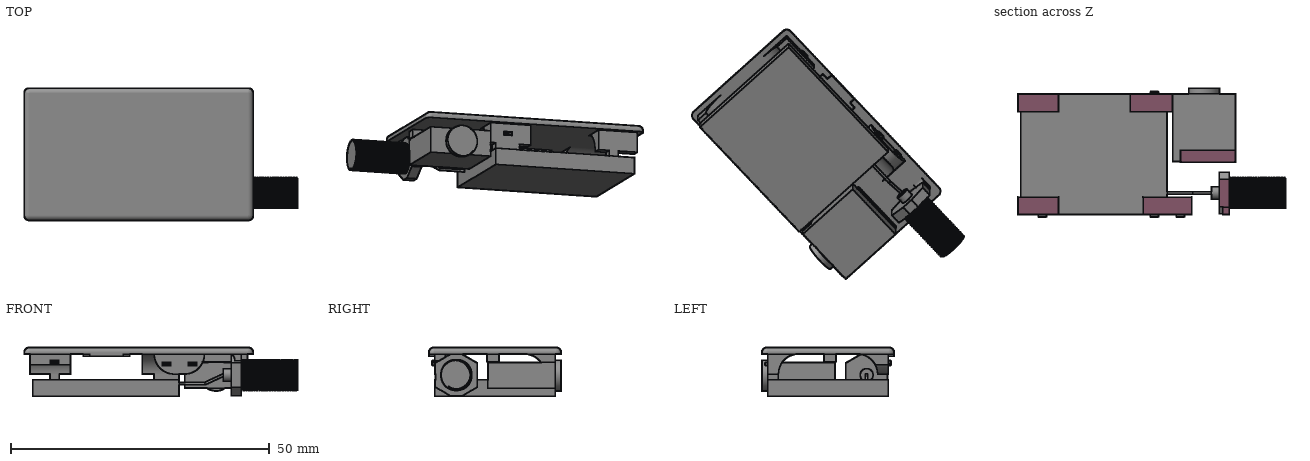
import cadquery as cq
import math


near_full = 0.999

plate_length = 44.3
plate_width = 25.6
plate_thickness = 1.3
plate_round = 1.0
overall_height = 9.45
plate_underside = overall_height - plate_thickness

base_length = 28.3
base_width = 23.35
base_height = 3.2
base_left = 1.65
base_right = base_left + base_length

wall_outer = base_width / 2
wall_thickness = 2.1
wall_inner = wall_outer - wall_thickness
cove_radius = 3.87
cove_y = wall_inner - cove_radius
cove_z = plate_underside - cove_radius
wall_bottom = cove_z
wall_inset = 1.1

leg_length = 7.9
front_leg_bottom = 6.05

tab_left = 25.15
tab_length = 9.7
rear_wall_left = 22.8

left_post_left = 5.0
left_post_length = 1.8
right_post_length = 4.85

nub_length = 1.65
nub_height = 0.65
nub_reach = 0.5
nub_bevel = 0.15
leg_nub_x = 5.85
leg_nub_z = 6.62
tab_nub_spacing = 5.0
tab_nub_z = 6.22
tab_nub_centre = tab_left + tab_length / 2

lip_left = 11.4
lip_length = 9.05
lip_height = 0.45
lip_end = 1.3

stub_left = 40.7
stub_bottom = 6.85
stub_cove = 1.1

rib_left = 32.5
rib_back = 0.8
rib_width = 2.35
rib_height = 1.5

jack_left = 31.0
jack_front = -1.4
jack_bottom = 1.55
jack_top = 6.55
jack_right = plate_length - wall_inset
sleeve_diameter = 6.0
sleeve_x = (jack_left + jack_right) / 2
sleeve_z = 4.0

axis_y = -7.47
axis_z = 4.1
nut_left = 40.0
nut_thickness = 2.0
nut_right = nut_left + nut_thickness
nut_across_flats = 8.1
thread_diameter = 6.0
thread_pitch = 0.5
thread_end = 52.91
thread_depth = 0.325
crest_half_width = thread_pitch / 8
ridge_base_half_width = 0.245
ridge_overlap = 0.02

insulator_diameter = 2.49
insulator_left = 38.5
wire_diameter = 0.5
wire_bend_x = 34.95
wire_z = 2.45


def block(x0, x1, y0, y1, z0, z1):
    """Box between two opposite corners."""
    return cq.Workplane("XY").box(x1 - x0, y1 - y0, z1 - z0, centered=False).translate((x0, y0, z0))


def coved_wall(x0, x1, side, bottom):
    """Wall at the rear (side = 1) or front (side = -1), hanging from the plate down to a given height."""
    arc_end = math.asin((bottom - cove_z) / cove_radius)
    arc_middle = (arc_end + math.pi / 2) / 2

    def on_cove(angle):
        return side * (cove_y + cove_radius * math.cos(angle)), cove_z + cove_radius * math.sin(angle)

    profile = cq.Workplane("YZ", origin=(x0, 0, 0)).moveTo(side * wall_outer, plate_underside)
    profile = profile.lineTo(side * cove_y, plate_underside)
    profile = profile.threePointArc(on_cove(arc_middle), on_cove(arc_end))
    return profile.lineTo(side * wall_outer, bottom).close().extrude(x1 - x0)


def nub(x_centre, z_centre, side):
    """Small bevelled bump on the outside of a wall."""
    bump = cq.Workplane("XY").box(nub_length, nub_reach, nub_height)
    bump = bump.faces(">Y" if side > 0 else "<Y").chamfer(nub_bevel)
    return bump.translate((x_centre, side * (wall_outer + nub_reach / 2), z_centre))


def make_plate():
    plate = block(0, plate_length, -plate_width / 2, plate_width / 2, plate_underside, overall_height)
    return plate.edges("|Z").fillet(plate_round).faces(">Z").edges().fillet(plate_round * near_full)


def front_tab():
    wall = coved_wall(tab_left, tab_left + tab_length, -1, wall_bottom)
    outline = block(tab_left, tab_left + tab_length, -plate_width, 0, wall_bottom, plate_underside)
    return wall.intersect(outline.edges("|Y and <Z").fillet(cove_radius * near_full))


def rear_post(x0, length):
    return block(x0, x0 + length, wall_inner, wall_outer, base_height, wall_bottom)


def finger_lip():
    lip_right = lip_left + lip_length
    lip_bottom = plate_underside - lip_height
    strip = block(lip_left, lip_right, -wall_outer, -wall_inner, lip_bottom, plate_underside)
    tongue = block(lip_left + lip_end, lip_right - lip_end, -plate_width / 2, -wall_inner,
                   lip_bottom, plate_underside)
    return strip.union(tongue)


def corner_stub():
    """Short front wall whose left side sweeps out into the plate."""
    sweep_left = stub_left - stub_cove
    sweep_bottom = plate_underside - stub_cove
    half = stub_cove * math.sqrt(0.5)
    profile = (
        cq.Workplane("XZ", origin=(0, -wall_inner, 0))
        .moveTo(sweep_left, plate_underside)
        .threePointArc((sweep_left + half, sweep_bottom + half), (stub_left, sweep_bottom))
        .lineTo(stub_left, stub_bottom)
        .lineTo(nut_right, stub_bottom)
        .lineTo(nut_right, plate_underside)
        .close()
    )
    return profile.extrude(wall_thickness)


def make_nut():
    """Hexagon with upright side flats and its top and bottom corners cut off level."""
    corner_diameter = nut_across_flats / math.cos(math.radians(30))
    plane = cq.Workplane("YZ", origin=(nut_left, axis_y, axis_z))
    hexagon = plane.transformed(rotate=(0, 0, 90)).polygon(6, corner_diameter).extrude(nut_thickness)
    return hexagon.intersect(plane.rect(nut_across_flats, nut_across_flats).extrude(nut_thickness))


def threaded_barrel(length):
    """Helical ridge on a core along the Z axis, made overlong and trimmed level at both ends."""
    root_radius = thread_diameter / 2 - thread_depth
    uncut_length = length + 2 * thread_pitch
    helix = cq.Wire.makeHelix(thread_pitch, uncut_length, root_radius)
    ridge = (
        cq.Workplane("XZ")
        .moveTo(root_radius - ridge_overlap, ridge_base_half_width)
        .lineTo(thread_diameter / 2, crest_half_width)
        .lineTo(thread_diameter / 2, -crest_half_width)
        .lineTo(root_radius - ridge_overlap, -ridge_base_half_width)
        .close()
        .sweep(cq.Workplane(helix), isFrenet=True)
        .translate((0, 0, -thread_pitch))
    )
    core = cq.Workplane("XY", origin=(0, 0, -2 * thread_pitch)).circle(root_radius)
    core = core.extrude(uncut_length + 2 * thread_pitch)
    trim = cq.Workplane("XY").circle(thread_diameter).extrude(length)
    return core.union(ridge).intersect(trim)


def make_connector():
    """Hexagon nut with a threaded barrel."""
    barrel = threaded_barrel(thread_end - nut_right)
    barrel = barrel.rotate((0, 0, 0), (0, 1, 0), 90).translate((nut_right, axis_y, axis_z))
    return make_nut().union(barrel)


def make_cover():
    leg_right = wall_inset + leg_length
    cover = make_plate()
    cover = cover.union(coved_wall(wall_inset, leg_right, 1, wall_bottom))
    cover = cover.union(coved_wall(wall_inset, leg_right, -1, front_leg_bottom))
    cover = cover.union(coved_wall(rear_wall_left, jack_left, 1, wall_bottom))
    cover = cover.union(front_tab())
    cover = cover.union(rear_post(left_post_left, left_post_length))
    cover = cover.union(rear_post(base_right - right_post_length, right_post_length))
    cover = cover.union(finger_lip())
    cover = cover.union(corner_stub())
    cover = cover.union(block(rib_left, plate_length - wall_inset, rib_back - rib_width, rib_back,
                              plate_underside - rib_height, plate_underside))
    cover = cover.union(nub(leg_nub_x, leg_nub_z, -1))
    for step in (-0.5, 0.5):
        cover = cover.union(nub(tab_nub_centre + step * tab_nub_spacing, tab_nub_z, -1))
    cover = cover.union(nub(tab_nub_centre - tab_nub_spacing / 2, tab_nub_z, 1))
    return cover.cut(make_nut())


def make_base():
    return block(base_left, base_right, -base_width / 2, base_width / 2, 0, base_height)


def make_jack():
    body = block(jack_left, jack_right, jack_front, wall_outer, jack_bottom, jack_top)
    sleeve = (
        cq.Workplane("XZ", origin=(sleeve_x, wall_outer, sleeve_z))
        .circle(sleeve_diameter / 2)
        .extrude(wall_outer - plate_width / 2)
    )
    return body.union(sleeve)


def make_insulator():
    plane = cq.Workplane("YZ", origin=(insulator_left, axis_y, axis_z))
    return plane.circle(insulator_diameter / 2).extrude(nut_left - insulator_left)


def make_wire():
    """Bent wire from the end of the base to the insulator, trimmed flat against the insulator."""
    slope = (axis_z - wire_z) / (insulator_left - wire_bend_x)
    path = (
        cq.Workplane("XZ", origin=(0, axis_y, 0))
        .moveTo(base_right, wire_z)
        .lineTo(wire_bend_x, wire_z)
        .lineTo(nut_left, wire_z + slope * (nut_left - wire_bend_x))
    )
    section = cq.Workplane("YZ", origin=(base_right, axis_y, wire_z)).circle(wire_diameter / 2)
    wire = section.sweep(path, transition="right")
    trim = block(insulator_left, nut_right, axis_y - wire_diameter, axis_y + wire_diameter, 0, overall_height)
    return wire.cut(trim)


cover = make_cover()
base = make_base()
jack = make_jack()
connector = make_connector()
insulator = make_insulator()
wire = make_wire()

bodies = [cover, base, jack, connector, insulator, wire]
result = cq.Compound.makeCompound([body.val() for body in bodies])